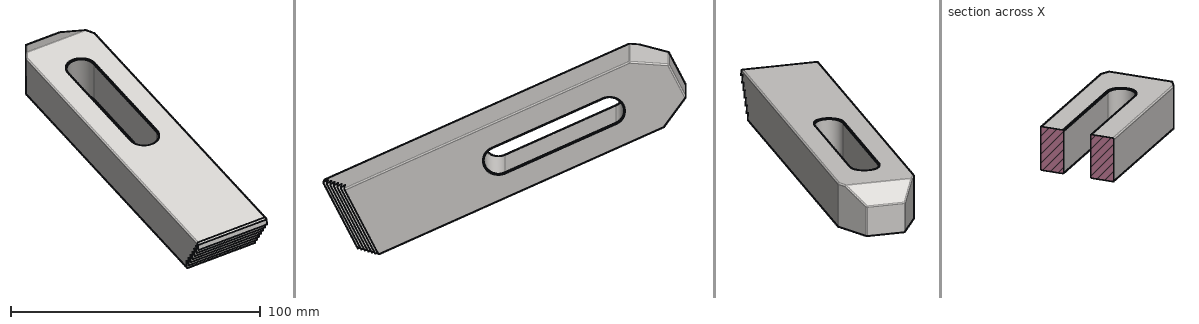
import cadquery as cq
import math

length = 150.0
width = 32.0
height = 19.0
edge_radius = 0.6

taper_angle = math.radians(30)
nose_width = 16.0
nose_slope_length = 10.5
nose_side_length = (width - nose_width) / 2 / math.tan(taper_angle)
nose_height = height - nose_slope_length * math.tan(taper_angle)

slot_start = 24.5
slot_length = 61.0
slot_width = 11.5
slot_chamfer = 0.5

tooth_count = 6
tooth_pitch = 2.7
tooth_step = tooth_pitch * math.tan(taper_angle)
tooth_depth = 2.1
tooth_undercut = 0.8
first_tip_height = tooth_count * tooth_pitch
heel_chamfer = 0.8
heel_inset = 0.6


def extrude_side_profile(points):
    """Extrude an XZ outline across the full width, centred on Y."""
    return cq.Workplane("XZ").polyline(points).close().extrude(width / 2, both=True)


def make_tapered_bar():
    plan = [
        (0, -nose_width / 2),
        (nose_side_length, -width / 2),
        (length, -width / 2),
        (length, width / 2),
        (nose_side_length, width / 2),
        (0, nose_width / 2),
    ]
    side = [
        (0, 0),
        (length, 0),
        (length, height),
        (nose_slope_length, height),
        (0, nose_height),
    ]
    bar = cq.Workplane("XY").polyline(plan).close().extrude(height)
    return bar.intersect(extrude_side_profile(side))


def round_bar_edges(bar):
    """Round the outer edges of the bar and its nose; the heel end stays sharp."""
    return bar.edges("not >X").fillet(edge_radius)


def make_heel_profile():
    """Outline of the material kept, with the saw-tooth heel on the +X side."""
    points = [
        (0, height),
        (length - heel_inset - heel_chamfer, height),
        (length - heel_inset, height - heel_chamfer),
        (length, first_tip_height),
    ]
    for tooth in range(tooth_count):
        tip_x = length - tooth * tooth_step
        tip_z = first_tip_height - tooth * tooth_pitch
        points.append((tip_x - tooth_depth, tip_z + tooth_undercut))
        points.append((tip_x - tooth_step, tip_z - tooth_pitch))
    points.append((0, 0))
    return points


def make_slot():
    slot_center = slot_start + slot_length / 2
    slot = cq.Workplane("XY").center(slot_center, 0).slot2D(slot_length, slot_width).extrude(height)
    for z, taper_direction in ((0, 1), (height, -1)):
        flare = (
            cq.Workplane("XY", origin=(slot_center, 0, z))
            .slot2D(slot_length + 2 * slot_chamfer, slot_width + 2 * slot_chamfer)
            .extrude(taper_direction * slot_chamfer, taper=45)
        )
        slot = slot.union(flare)
    return slot


bar = round_bar_edges(make_tapered_bar())
result = bar.intersect(extrude_side_profile(make_heel_profile())).cut(make_slot())